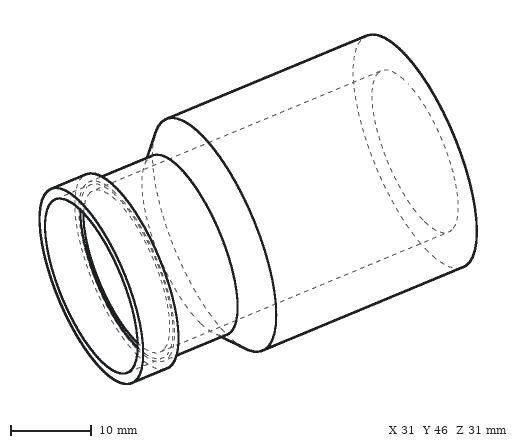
import cadquery as cq

total_length = 45.95
flange_length = 5.0
neck_end = 13.95
body_start = 17.45

flange_diameter = 26.0
neck_diameter = 24.0
body_diameter = 31.0

bore_diameter = 21.6
counterbore_diameter = 23.2
counterbore_depth = 5.0


def outer_body():
    """Flange, neck, cone and body revolved about the Y axis."""
    profile = (
        cq.Workplane("XY")
        .lineTo(flange_diameter / 2, 0)
        .lineTo(flange_diameter / 2, flange_length)
        .lineTo(neck_diameter / 2, flange_length)
        .lineTo(neck_diameter / 2, neck_end)
        .lineTo(body_diameter / 2, body_start)
        .lineTo(body_diameter / 2, total_length)
        .lineTo(0, total_length)
        .close()
    )
    return profile.revolve(360, (0, 0, 0), (0, 1, 0))


def round_cut(diameter, depth):
    """Cylinder reaching from the front end into the part along +Y."""
    return cq.Workplane("XZ").circle(diameter / 2).extrude(-depth)


through_bore = round_cut(bore_diameter, total_length)
counterbore = round_cut(counterbore_diameter, counterbore_depth)

result = outer_body().cut(through_bore).cut(counterbore)